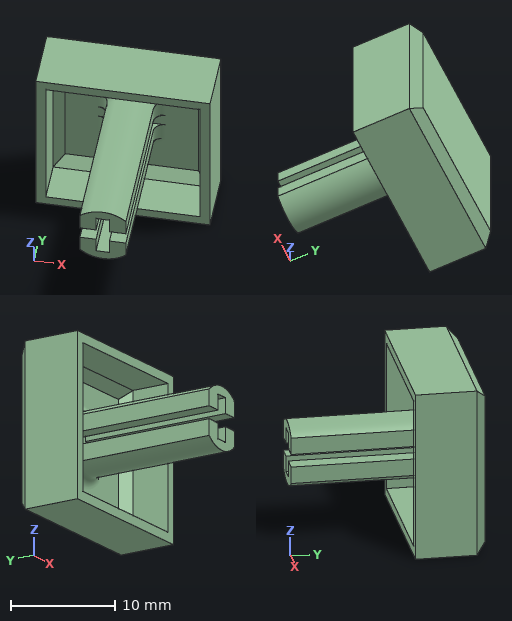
import cadquery as cq

cap_size = 17.0
cap_depth = 7.0
wall = 1.0
crown_thickness = 2.0
edge_chamfer = 1.0
cavity_size = cap_size - 2 * wall
cavity_depth = cap_depth - crown_thickness

stem_diameter = 6.5
stem_width = 4.5
stem_projection = 11.0
stem_root_fillet = 1.0
stem_length = stem_projection + cavity_depth

slot_width = 1.3
slot_height = 4.5

floor_y = cavity_depth
stem_tip_y = -stem_projection


def square_block(size, start_y, depth):
    """Square block along Y with its far (+Y) edges chamfered."""
    block = cq.Workplane("XY").box(size, depth, size).translate((0, start_y + depth / 2, 0))
    return block.faces(">Y").edges().chamfer(edge_chamfer)


def make_cap():
    outer = square_block(cap_size, 0, cap_depth)
    cavity = square_block(cavity_size, 0, cavity_depth)
    return outer.cut(cavity)


def make_stem():
    """Solid stem from its tip to the cavity floor."""
    tip_plane = cq.Workplane("XZ", origin=(0, stem_tip_y, 0))
    post = tip_plane.circle(stem_diameter / 2).extrude(-stem_length)
    flats = tip_plane.rect(stem_width, stem_diameter).extrude(-stem_length)
    return post.intersect(flats)


def fillet_stem_root(body):
    """Round the joint between the stem and the cavity floor."""
    reach = stem_diameter / 2
    tolerance = 0.01
    root_edges = cq.selectors.BoxSelector(
        (-reach, floor_y - tolerance, -reach),
        (reach, floor_y + tolerance, reach),
    )
    return body.edges(root_edges).fillet(stem_root_fillet)


def make_cross_slot():
    """Horizontal slot across the whole stem and its fillet, plus a shorter upright slot."""
    tip_plane = cq.Workplane("XZ", origin=(0, stem_tip_y, 0))
    across = tip_plane.rect(cavity_size - 2 * edge_chamfer, slot_width).extrude(-stem_length)
    upright = tip_plane.rect(slot_width, slot_height).extrude(-stem_length)
    return across.union(upright)


body = make_cap().union(make_stem())
body = fillet_stem_root(body)
result = body.cut(make_cross_slot())